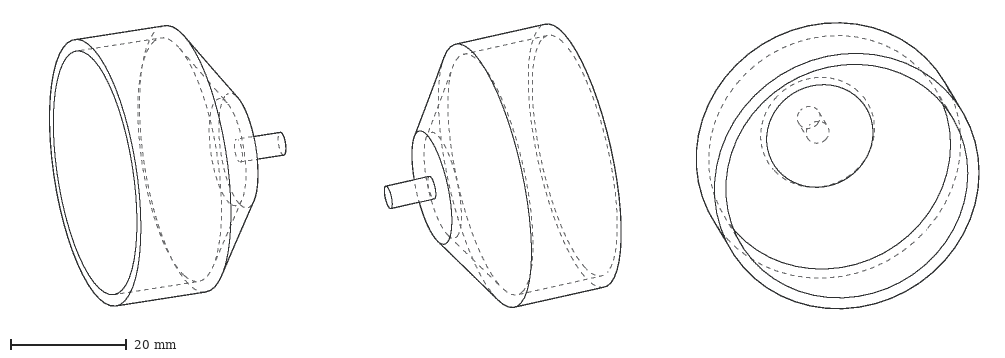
import cadquery as cq
import math

outer_radius = 23.25
back_radius = 10.0
rim_length = 16.5
cone_length = 9.75
wall = 2.0
stem_radius = 2.0
stem_length = 8.0

cone_end = rim_length + cone_length
floor = cone_end - wall

cone_slope = (outer_radius - back_radius) / cone_length
radial_wall = wall * math.hypot(1, cone_slope)
cavity_radius = outer_radius - wall
cavity_floor_radius = back_radius + wall * cone_slope - radial_wall
cavity_cone_start = rim_length + (wall - radial_wall) / cone_slope


def revolve_profile(points):
    """Revolve a closed (radius, Y) profile fully about the Y axis."""
    return cq.Workplane("XY").polyline(points).close().revolve(360, (0, 0, 0), (0, 1, 0))


def make_cup():
    """Cylindrical rim and tapered back, hollowed to an even wall."""
    return revolve_profile([
        (outer_radius, 0),
        (outer_radius, rim_length),
        (back_radius, cone_end),
        (0, cone_end),
        (0, floor),
        (cavity_floor_radius, floor),
        (cavity_radius, cavity_cone_start),
        (cavity_radius, 0),
    ])


def make_stem():
    """Solid pin on the axis; it starts inside the floor so that it fuses with it."""
    return revolve_profile([
        (0, floor),
        (stem_radius, floor),
        (stem_radius, cone_end + stem_length),
        (0, cone_end + stem_length),
    ])


result = make_cup().union(make_stem())